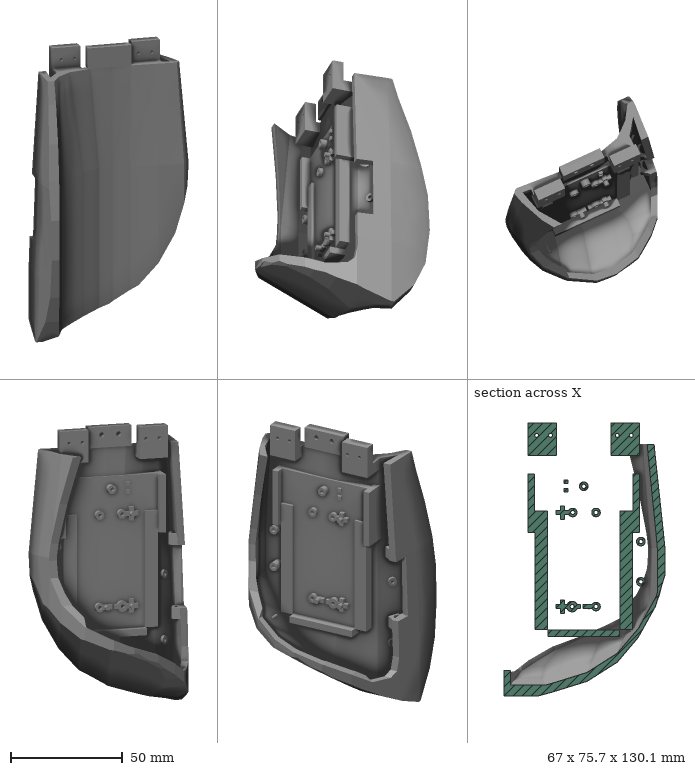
import cadquery as cq


TOTAL_HEIGHT = 130.1
SHELL_TOP = 120.6
WAIST_Z = 74.1
FOOT_Z = 31.2
TOTAL_LENGTH = 67.0
TOTAL_WIDTH = 75.7
MARGIN = 6.5

FOOT_OUTLINE = [
    (32.5, 1.7), (48.1, 0.0), (TOTAL_LENGTH, 2.0),
    (TOTAL_LENGTH, 5.6), (58.5, 7.8), (50.7, 10.4), (44.2, 13.7),
    (41.0, 19.0), (37.7, 25.5), (35.1, 33.8), (34.9, 40.3), (35.5, 48.1), (37.7, 60.7), (39.0, 72.5),
    (35.1, TOTAL_WIDTH), (29.3, 75.0), (18.5, 71.1), (13.0, 67.6),
    (5.5, 58.8), (0.0, 46.8), (0.0, 37.2), (3.8, 24.7), (12.2, 14.3), (19.5, 7.8),
]
TOP_OUTLINE = [
    (32.5, 6.2), (48.1, 5.3), (TOTAL_LENGTH, 5.5),
    (TOTAL_LENGTH, 6.2), (58.5, 7.0), (50.5, 8.2), (44.0, 12.4), (40.8, 15.9),
    (38.1, 19.3), (35.1, 29.9), (34.9, 40.3), (35.1, 48.9), (35.8, 59.8), (36.4, 69.8),
    (34.5, 71.5), (29.3, 70.1), (18.5, 65.5), (13.0, 62.0),
    (5.5, 54.6), (0.0, 46.8), (0.0, 37.2), (3.8, 24.7), (12.2, 14.3), (19.5, 8.5),
]
FOOT_CAVITY = [
    (32.5, 5.0), (46.8, 4.2),
    (44.2, 8.5), (37.7, 15.6), (34.3, 25.5), (31.9, 33.8), (31.7, 40.3), (32.3, 48.1), (33.3, 59.8),
    (34.1, 71.0), (29.3, 71.5), (19.8, 68.2), (15.0, 65.0),
    (7.8, 57.5), (3.4, 46.8), (3.4, 37.5), (6.8, 26.0), (14.8, 15.9), (19.5, 11.0),
]
TOP_CAVITY = [
    (32.5, 9.8), (44.0, 8.5),
    (40.3, 11.0), (36.2, 14.0), (33.5, 22.1), (31.9, 31.2), (31.7, 40.3), (32.0, 48.9), (32.9, 59.8),
    (33.5, 67.9), (29.3, 66.9), (22.8, 65.0), (14.8, 59.5),
    (7.8, 54.0), (3.4, 46.8), (3.4, 37.5), (6.8, 26.0), (14.8, 16.9), (19.5, 10.9),
]
WAIST_SIDE_LEAN = 1.5
SIDE_POINTS = 2

BACK_X = 35.1
UNDERSIDE_SLOPE_Y = -0.28
UNDERSIDE_SLOPE_Z = -0.68
UNDERSIDE_CURVE = [
    (-26.0, -7.2), (3.3, 0.5), (9.5, 2.3), (23.7, 6.2), (38.8, 10.9), (52.3, 19.5),
    (61.7, 30.6), (69.5, 44.6), (71.8, 52.5), (75.2, 63.5), (75.8, 74.1), (104.0, 120.6),
]
KEEL = [(-6.5, 0.0), (3.3, 0.0), (9.5, 2.3), (23.7, 6.2), (38.8, 10.9)]
FLOOR_RISE = 4.2
CHIN_RISE = 5.2

SIDE_PROFILE = [
    (-MARGIN, SHELL_TOP), (-MARGIN, 32.1), (0.5, 32.1), (2.2, 28.2), (6.5, 23.4), (15.6, 16.4), (24.0, 10.9),
    (35.1, 5.1), (47.6, 0.0), (49.4, 0.0), (59.5, 11.7), (64.9, 24.3), (TOTAL_LENGTH, 42.3),
    (66.1, 60.4), (62.4, 77.5), (58.5, 93.7), (53.1, 110.4), (50.5, SHELL_TOP),
]

RIM_X = 32.8
CHIN_X = 19.5
CHIN_Y = 11.2
NOSE_DEPTH = 21.5
SIDE_RIM = [(RIM_X, SHELL_TOP), (RIM_X, 27.3), (31.6, 20.8), (28.6, 18.5), (CHIN_X, 18.9)]
NOSE_RIM = [(7.8, 18.9), (14.3, 23.9), (24.7, 29.9), (38.8, 35.1), (48.0, 39.2), (58.1, 44.2)]
FAR_RIM = [
    (5.2, 44.2), (12.5, 53.3), (18.2, 65.0), (19.0, 72.8), (18.9, 80.6), (16.8, 98.9), (13.0, SHELL_TOP),
]

PLATE_X = 30.8
PLATE_BACK_X = 34.2
DEEP_X = 46.8
PLATE_Y = (16.8, 60.7)
PLATE_Z = (37.7, 107.3)
RAIL_X = 29.5
RAIL_WIDTH = 6.0
RAIL_TOP = 90.8
CHEEK_X = 27.0
CHEEK_WIDTH = 3.0
CHEEK_BOTTOM = 80.9
LEDGE_HEIGHT = 3.1

SIDE_TAB_X = (25.1, 30.2)
SIDE_TAB_BOTTOM = 115.4
SIDE_TAB_WIDTH = 13.0
SIDE_TAB_Y = (20.2, 57.4)
SIDE_TAB_HOLE_Y = (20.8, 56.8)
SIDE_TAB_HOLE_Z = 124.5
SIDE_TAB_HOLE_PITCH = 6.2
SIDE_TAB_HOLE_DIAMETER = 1.5
MIDDLE_TAB_X = (30.5, 35.2)
MIDDLE_TAB_Y = 39.0
MIDDLE_TAB_WIDTH = 20.2
MIDDLE_TAB_HOLE_Z = 126.4
MIDDLE_TAB_HOLE_PITCH = 7.9
MIDDLE_TAB_HOLE_DIAMETER = 2.2
MIDDLE_TAB_HOLE_DEPTH = 2.6

WINDOW_X = (32.8, 40.2)
WINDOW_FLARE = (2.2, 3.3)
WINDOW_FLARE_Y = 2.6
WINDOW_Z = (44.7, 73.5)
BOSS_HEIGHT = 5.1
LOWER_BOSS_Y = 8.7
UPPER_BOSS_Y = 10.1
BOSS_CHAMFER_X = 2.7
BOSS_CHAMFER_Y = 4.0
BOSS_BACK_SLOPE = 2.0
BOSS_HOLE_DIAMETER = 5.0
BOSS_HOLE_X = 37.5
BOSS_HOLE_WALL = 4.4

POST_DIAMETER = 4.0
POST_HOLE_DIAMETER = 1.7
POST_HOLE_DEPTH = 2.0
POST_X = 28.9
PLATE_POSTS = [(44.2, 90.0), (33.8, 90.0), (44.2, 48.0)]
TOP_POST = (38.8, 101.7)
TOP_POST_X = 28.0
LARGE_POST = (33.5, 48.0)
LARGE_POST_DIAMETER = 5.0
FAR_POSTS = [(64.3, 77.0), (64.3, 59.0)]

SIDE_POST_X = 41.2
SIDE_POST_Y = 9.8
SIDE_POST_Z = (29.0, 59.0, 88.8)
SIDE_POST_ANGLE = 40.0
SIDE_POST_LENGTH = 3.9

RIB_WIDTH = 2.1
CROSS_Y = 29.3
CROSS_SIZE = 6.2
PIN_X = 26.8
PIN_DIAMETER = 2.2
LARGE_POST_RIB = 3.8
LINK_RIB_END_Y = 38.4
LINK_PIN_Y = 41.1
STUB_SIZE = 1.8
STUB_X = 29.7
STUB_Y = 30.8
STUB_Z = (99.9, 103.7)

FLOOR_STUD_X = (20.7, 24.7)
FLOOR_STUD_Y = 60.4
FLOOR_STUD_Z = 37.7
FLOOR_STUD_DIAMETER = 1.5


def box(x_range, y_range, z_range):
    """Axis-aligned box from its limits along X, Y and Z."""
    sizes = [high - low for low, high in (x_range, y_range, z_range)]
    corner = (x_range[0], y_range[0], z_range[0])
    return cq.Workplane("XY").box(*sizes, centered=False).translate(corner)


def cylinder_x(x_range, y, z, diameter):
    """Cylinder along X centred on (y, z)."""
    start = cq.Workplane("YZ", origin=(x_range[0], y, z))
    return start.circle(diameter / 2).extrude(x_range[1] - x_range[0])


def prism_y(points, y_range):
    """(x, z) polygon extruded along Y."""
    plane = cq.Workplane("XZ", origin=(0, y_range[0], 0))
    return plane.polyline(points).close().extrude(y_range[0] - y_range[1])


def prism_x(points, x_range):
    """(y, z) polygon extruded along X."""
    plane = cq.Workplane("YZ", origin=(x_range[0], 0, 0))
    return plane.polyline(points).close().extrude(x_range[1] - x_range[0])


def lean(outline, amount):
    """Outline with its side-wall points moved inwards."""
    return [(x, y + amount) if i < SIDE_POINTS else (x, y) for i, (x, y) in enumerate(outline)]


def stacked(foot, top):
    """Ruled body from a foot outline, leaning in from the waist, up to a top outline."""
    levels = [
        (0.0, foot), (FOOT_Z, foot), (WAIST_Z, lean(foot, WAIST_SIDE_LEAN)), (SHELL_TOP, top),
    ]
    wires = []
    for z, outline in levels:
        wires.append(cq.Wire.makePolygon([cq.Vector(x, y, z) for x, y in outline], close=True))
    return cq.Workplane(obj=cq.Solid.makeLoft(wires, True))


def above_underside(rise):
    """Everything above the sloping underside raised by the given height."""
    reach = BACK_X + MARGIN
    ceiling = 3 * TOTAL_HEIGHT
    curve = [(y, z + rise) for y, z in UNDERSIDE_CURVE]
    curve += [(curve[-1][0], ceiling), (curve[0][0], ceiling)]
    start = [
        cq.Vector(-MARGIN, y - UNDERSIDE_SLOPE_Y * reach, z - UNDERSIDE_SLOPE_Z * reach) for y, z in curve
    ]
    length = TOTAL_LENGTH + 2 * MARGIN
    direction = cq.Vector(length, UNDERSIDE_SLOPE_Y * length, UNDERSIDE_SLOPE_Z * length)
    wire = cq.Wire.makePolygon(start, close=True)
    return cq.Workplane(obj=cq.Solid.extrudeLinear(wire, [], direction))


def within_side_profile(rise):
    """Side profile raised by the given height, across the full width."""
    return prism_y(SIDE_PROFILE, (-MARGIN, TOTAL_WIDTH + MARGIN)).translate((0, 0, rise))


def shell_body():
    outer = stacked(FOOT_OUTLINE, TOP_OUTLINE).intersect(above_underside(0.0))
    below_keel = KEEL + [(KEEL[-1][0], -MARGIN), (KEEL[0][0], -MARGIN)]
    outer = outer.cut(prism_x(below_keel, (0, TOTAL_LENGTH)))
    return outer.intersect(within_side_profile(0.0))


def cavity():
    inner = stacked(FOOT_CAVITY, TOP_CAVITY).intersect(above_underside(FLOOR_RISE))
    return inner.intersect(within_side_profile(CHIN_RISE))


def opening():
    """Everything in front of the side, nose and far rims."""
    side = prism_y(SIDE_RIM + [(CHIN_X, SHELL_TOP)], (-MARGIN, CHIN_Y))
    nose_start = NOSE_RIM[0][0]
    nose_end, nose_end_z = NOSE_RIM[-1]
    nose = prism_x(NOSE_RIM + [(nose_end, SHELL_TOP), (nose_start, SHELL_TOP)], (-MARGIN, NOSE_DEPTH))
    far_points = FAR_RIM + [(-MARGIN, SHELL_TOP), (-MARGIN, nose_end_z)]
    far = prism_y(far_points, (nose_end, TOTAL_WIDTH + MARGIN))
    return side.union(nose).union(far)


def plate():
    """Plate with two rails, two upper cheeks and a bottom ledge."""
    low_y, high_y = PLATE_Y
    bottom, top = PLATE_Z
    body = box((PLATE_X, PLATE_BACK_X), PLATE_Y, PLATE_Z)
    for start in (low_y, high_y - RAIL_WIDTH):
        body = body.union(box((RAIL_X, PLATE_BACK_X), (start, start + RAIL_WIDTH), (bottom, RAIL_TOP)))
    for start in (low_y - CHEEK_WIDTH, high_y):
        body = body.union(box((CHEEK_X, DEEP_X), (start, start + CHEEK_WIDTH), (CHEEK_BOTTOM, top)))
    ledge_y = (low_y + RAIL_WIDTH, high_y - RAIL_WIDTH)
    return body.union(box((CHEEK_X, PLATE_BACK_X), ledge_y, (bottom - LEDGE_HEIGHT, bottom)))


def rib(y_range, z_range):
    """Low rib on the face of the plate."""
    return box((POST_X, PLATE_BACK_X), y_range, z_range)


def plate_ribs():
    """Two crosses, a link rib, their pins and two square stubs."""
    body = cq.Workplane()
    half = RIB_WIDTH / 2
    reach = CROSS_SIZE / 2
    for (post_y, z), far_end in ((PLATE_POSTS[1], 0.0), (LARGE_POST, LARGE_POST_RIB)):
        body = body.add(rib((CROSS_Y - reach, post_y + far_end), (z - half, z + half)))
        body = body.add(rib((CROSS_Y - half, CROSS_Y + half), (z - reach, z + reach)))
        body = body.add(cylinder_x((PIN_X, PLATE_BACK_X), CROSS_Y, z, PIN_DIAMETER))
    link_y, link_z = PLATE_POSTS[2]
    body = body.add(rib((LINK_RIB_END_Y, link_y), (link_z - half, link_z + half)))
    body = body.add(cylinder_x((PIN_X, PLATE_BACK_X), LINK_PIN_Y, link_z, PIN_DIAMETER))
    for z in STUB_Z:
        stub = box((STUB_X, PLATE_BACK_X), (0, STUB_SIZE), (0, STUB_SIZE))
        body = body.add(stub.translate((0, STUB_Y - STUB_SIZE / 2, z - STUB_SIZE / 2)))
    return body.combine()


def tab_roots():
    """Blocks that tie the side tabs to the back wall."""
    body = cq.Workplane()
    for y in SIDE_TAB_Y:
        y_range = (y - SIDE_TAB_WIDTH / 2, y + SIDE_TAB_WIDTH / 2)
        body = body.add(box((SIDE_TAB_X[0], DEEP_X), y_range, (SIDE_TAB_BOTTOM, SHELL_TOP)))
    return body.combine()


def hole_pair(x_range, y, z, pitch, diameter):
    """Two drills along X, spaced evenly about y."""
    first = cylinder_x(x_range, y - pitch / 2, z, diameter)
    return first.union(cylinder_x(x_range, y + pitch / 2, z, diameter))


def tabs():
    """Middle tab with blind holes and two side tabs with through holes."""
    half = MIDDLE_TAB_WIDTH / 2
    body = box(MIDDLE_TAB_X, (MIDDLE_TAB_Y - half, MIDDLE_TAB_Y + half), (SHELL_TOP, TOTAL_HEIGHT))
    drill_x = (MIDDLE_TAB_X[0], MIDDLE_TAB_X[0] + MIDDLE_TAB_HOLE_DEPTH)
    body = body.cut(hole_pair(
        drill_x, MIDDLE_TAB_Y, MIDDLE_TAB_HOLE_Z, MIDDLE_TAB_HOLE_PITCH, MIDDLE_TAB_HOLE_DIAMETER
    ))
    half = SIDE_TAB_WIDTH / 2
    for y, hole_y in zip(SIDE_TAB_Y, SIDE_TAB_HOLE_Y):
        side = box(SIDE_TAB_X, (y - half, y + half), (SIDE_TAB_BOTTOM, TOTAL_HEIGHT))
        body = body.union(side.cut(hole_pair(
            SIDE_TAB_X, hole_y, SIDE_TAB_HOLE_Z, SIDE_TAB_HOLE_PITCH, SIDE_TAB_HOLE_DIAMETER
        )))
    return body


def window():
    """Opening through the side wall whose end flares towards the inside."""
    front, back = WINDOW_X
    flare_x, flare_y = WINDOW_FLARE
    flare_end = WINDOW_FLARE_Y + flare_y
    outline = [
        (front, -MARGIN), (back, -MARGIN), (back, WINDOW_FLARE_Y), (back + flare_x, flare_end),
        (back, UPPER_BOSS_Y), (front, UPPER_BOSS_Y),
    ]
    low, high = WINDOW_Z
    return cq.Workplane("XY", origin=(0, 0, low)).polyline(outline).close().extrude(high - low)


def bosses():
    """Blocks above and below the window, each with a round hole along Z."""
    low, high = WINDOW_Z
    front, back = WINDOW_X
    body = cq.Workplane()
    for inner_y, bottom in ((LOWER_BOSS_Y, low - BOSS_HEIGHT), (UPPER_BOSS_Y, high)):
        outline = [
            (front, -MARGIN), (front, inner_y - BOSS_CHAMFER_Y), (front + BOSS_CHAMFER_X, inner_y),
            (back, inner_y - BOSS_BACK_SLOPE), (back, -MARGIN),
        ]
        block = cq.Workplane("XY", origin=(0, 0, bottom)).polyline(outline).close().extrude(BOSS_HEIGHT)
        start = cq.Workplane("XY", origin=(BOSS_HOLE_X, inner_y - BOSS_HOLE_WALL, bottom))
        body = body.add(block.cut(start.circle(BOSS_HOLE_DIAMETER / 2).extrude(BOSS_HEIGHT)))
    return body.combine()


def side_posts():
    """Three drilled posts in the corner between the side wall and the back."""
    post = cylinder_x((0, SIDE_POST_LENGTH), 0, 0, POST_DIAMETER)
    post = post.cut(cylinder_x((0, POST_HOLE_DEPTH), 0, 0, POST_HOLE_DIAMETER))
    post = post.rotate((0, 0, 0), (0, 0, 1), SIDE_POST_ANGLE)
    body = cq.Workplane()
    for z in SIDE_POST_Z:
        body = body.add(post.translate((SIDE_POST_X, SIDE_POST_Y, z)))
    return body.combine()


def post_list():
    """Every post as (front x, y, z, diameter)."""
    posts = [(POST_X, y, z, POST_DIAMETER) for y, z in PLATE_POSTS + FAR_POSTS]
    posts.append((TOP_POST_X, *TOP_POST, POST_DIAMETER))
    posts.append((POST_X, *LARGE_POST, LARGE_POST_DIAMETER))
    return posts


outer_body = shell_body()
fittings = plate().union(plate_ribs()).union(tab_roots()).union(side_posts())
for front_x, y, z, diameter in post_list():
    fittings = fittings.union(cylinder_x((front_x, DEEP_X), y, z, diameter))
fittings = fittings.union(cylinder_x(FLOOR_STUD_X, FLOOR_STUD_Y, FLOOR_STUD_Z, FLOOR_STUD_DIAMETER))

result = outer_body.cut(cavity()).cut(opening()).cut(window())
result = result.union(fittings.intersect(outer_body)).union(bosses().intersect(outer_body)).union(tabs())
for front_x, y, z, _ in post_list():
    result = result.cut(cylinder_x((front_x, front_x + POST_HOLE_DEPTH), y, z, POST_HOLE_DIAMETER))